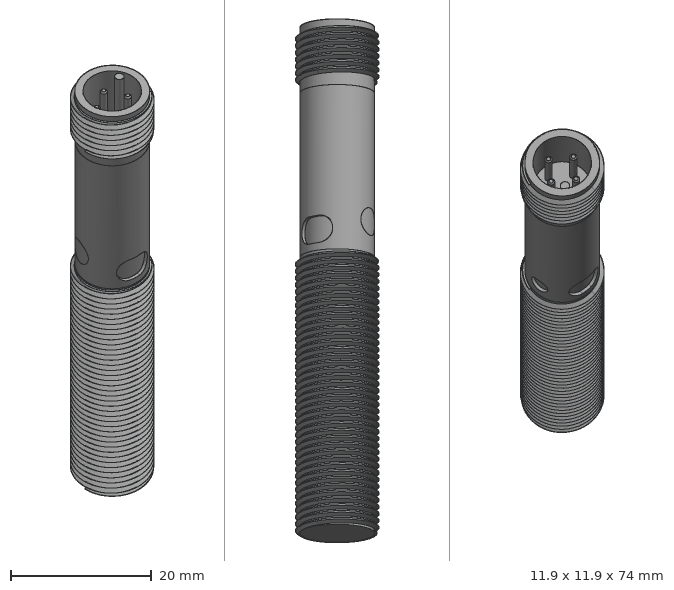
import cadquery as cq
import math

LENGTH = 74.0
BARREL_RADIUS = 5.3

OUTER_DIAMETER = 11.9
THREAD_RADIUS = OUTER_DIAMETER / 2
LOWER_THREAD_START = 0.53
LOWER_THREAD_RISE = 39.0
LOWER_THREAD_TURNS = 39
PITCH = LOWER_THREAD_RISE / LOWER_THREAD_TURNS
UPPER_THREAD_START = 66.5
UPPER_THREAD_TURNS = 6
SECTION_TURNS = 3
FOOT_RADIUS = 5.2
FOOT_WIDTH = 0.98 * PITCH

THREAD_END_TURNS = 0.7
THREAD_END_HEIGHT = 0.5
THREAD_END_RADIUS = 5.6

SLEEVE_BOTTOM = 40.3
SLEEVE_TOP = 64.4
SLEEVE_WALL = 0.5
GROOVE_RADIUS = BARREL_RADIUS - SLEEVE_WALL

WINDOW_RADIUS = 2.0
WINDOW_HEIGHT = 43.45
WINDOW_SWEEP = 19.0
REAR_HOLE_RADIUS = 1.5
BUTTON_RADIUS = WINDOW_RADIUS
BUTTON_HEIGHT = 45.0

SOCKET_RADIUS = 4.15
SOCKET_DEPTH = 8.0
SOCKET_FLOOR = LENGTH - SOCKET_DEPTH

PIN_COUNT = 4
PIN_RADIUS = 0.5
PIN_CIRCLE_RADIUS = 2.5
PIN_TOP = LENGTH - 2.0
PIN_CHAMFER = 0.2
KEY_RADIUS = 0.7
KEY_CIRCLE_RADIUS = 3.55
KEY_AZIMUTH = 135.0
KEY_TOP = LENGTH - 0.4

LEFT, REAR, FRONT = 180.0, 90.0, -90.0


def upright_cylinder(radius, bottom, top):
    """Cylinder on the Z axis between two heights."""
    return cq.Workplane("XY").workplane(offset=bottom).circle(radius).extrude(top - bottom)


def radial_cylinder(radius, azimuth, height):
    """Horizontal cylinder from the Z axis outwards past the barrel wall."""
    along_x = cq.Workplane("YZ").circle(radius).extrude(THREAD_RADIUS)
    return along_x.rotate((0, 0, 0), (0, 0, 1), azimuth).translate((0, 0, height))


def polar_point(radius, azimuth):
    """Horizontal offset from the Z axis as an XYZ vector."""
    angle = math.radians(azimuth)
    return cq.Vector(radius * math.cos(angle), radius * math.sin(angle), 0)


def thread_ridge(start_height, turns):
    """Right-hand helical ridge, given the height of its crest where it starts."""
    helix = cq.Wire.makeHelix(PITCH, turns * PITCH, FOOT_RADIUS)
    profile = cq.Workplane("XZ").polyline([
        (FOOT_RADIUS, -FOOT_WIDTH / 2),
        (THREAD_RADIUS, 0),
        (FOOT_RADIUS, FOOT_WIDTH / 2),
    ]).close()
    ridge = profile.sweep(cq.Workplane(helix), isFrenet=True)
    return ridge.rotate((0, 0, 0), (0, 0, 1), LEFT).translate((0, 0, start_height))


def thread_end():
    """Part turn that runs on upwards from a crest at Z = 0, trimmed to a bevelled disc."""
    trim_radius = THREAD_RADIUS + PITCH
    bevel = trim_radius - THREAD_END_RADIUS
    trim = upright_cylinder(trim_radius, -THREAD_RADIUS, THREAD_END_HEIGHT).faces(">Z").chamfer(bevel)
    return thread_ridge(0, THREAD_END_TURNS).intersect(trim, clean=False)


def add_thread(body, start_height, turns):
    """Join a thread to a body: its two ends, then the full turns in short sections stacked end to end."""
    upper_end = thread_end().translate((0, 0, start_height + turns * PITCH))
    lower_end = thread_end().rotate((0, 0, 0), (1, 0, 0), 180).translate((0, 0, start_height))
    ridges = [upper_end, lower_end]
    for turn in range(0, turns, SECTION_TURNS):
        ridges.append(thread_ridge(start_height + turn * PITCH, SECTION_TURNS))
    for ridge in ridges:
        body = body.union(ridge, clean=False)
    return body


def left_window():
    """Rounded opening that runs round the wall from the -X side towards +Y, as a solid to cut with."""
    end_azimuth = LEFT - WINDOW_SWEEP
    reach = 2 * BARREL_RADIUS
    wedge = (
        cq.Workplane("XY").workplane(offset=WINDOW_HEIGHT - WINDOW_RADIUS)
        .polyline([cq.Vector(0, 0, 0), polar_point(reach, LEFT), polar_point(reach, end_azimuth)]).close()
        .extrude(2 * WINDOW_RADIUS)
    )
    start_round = radial_cylinder(WINDOW_RADIUS, LEFT, WINDOW_HEIGHT)
    end_round = radial_cylinder(WINDOW_RADIUS, end_azimuth, WINDOW_HEIGHT)
    return wedge.union(start_round).union(end_round)


def button_peg():
    """Horizontal cylinder that bounds the button, from the Z axis out past the wall on the -Y side."""
    return radial_cylinder(BUTTON_RADIUS, FRONT, BUTTON_HEIGHT)


def sleeve_blank():
    """Plain tube that fills the groove between the threads."""
    outside = upright_cylinder(BARREL_RADIUS, SLEEVE_BOTTOM, SLEEVE_TOP)
    return outside.cut(upright_cylinder(GROOVE_RADIUS, SLEEVE_BOTTOM, SLEEVE_TOP))


def make_sleeve():
    """Tube with a window on each side, a rear hole and a hole for the button."""
    window = left_window()
    sleeve = sleeve_blank().cut(window).cut(window.mirror("YZ"))
    sleeve = sleeve.cut(radial_cylinder(REAR_HOLE_RADIUS, REAR, WINDOW_HEIGHT))
    return sleeve.cut(button_peg())


def make_pin():
    """Contact pin with a chamfered tip, on the Z axis."""
    return upright_cylinder(PIN_RADIUS, SOCKET_FLOOR, PIN_TOP).faces(">Z").chamfer(PIN_CHAMFER)


def make_key():
    """Coding post against the socket wall."""
    post = upright_cylinder(KEY_RADIUS, SOCKET_FLOOR, KEY_TOP)
    post = post.translate(polar_point(KEY_CIRCLE_RADIUS, KEY_AZIMUTH))
    return post.intersect(upright_cylinder(BARREL_RADIUS, SOCKET_FLOOR, KEY_TOP))


def make_housing():
    """Threaded barrel with a sleeve groove, a button, and a socket that holds the pins and key."""
    housing = upright_cylinder(BARREL_RADIUS, 0, LENGTH).rotate((0, 0, 0), (0, 0, 1), REAR)
    housing = housing.cut(sleeve_blank().cut(button_peg()))
    housing = housing.cut(upright_cylinder(SOCKET_RADIUS, SOCKET_FLOOR, LENGTH))
    for index in range(PIN_COUNT):
        azimuth = index * 360 / PIN_COUNT
        housing = housing.union(make_pin().translate(polar_point(PIN_CIRCLE_RADIUS, azimuth)))
    housing = housing.union(make_key())
    housing = add_thread(housing, UPPER_THREAD_START, UPPER_THREAD_TURNS)
    return add_thread(housing, LOWER_THREAD_START, LOWER_THREAD_TURNS)


housing = make_housing()
sleeve = make_sleeve()
result = cq.Compound.makeCompound([housing.val(), sleeve.val()])